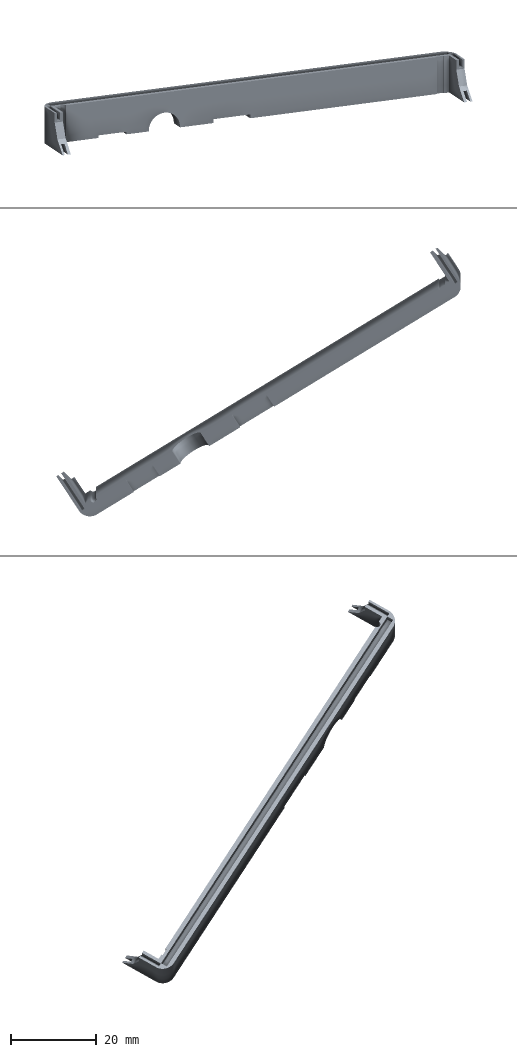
import cadquery as cq

length = 105.0
height = 9.0
wall_thickness = 3.6
leg_thickness = 2.1
corner_radius = 3.0
half_length = length / 2

front_leg_reach = 12.9
back_leg_reach = 12.3
leg_top_setback = 4.6
leg_knee_setback = 3.0
leg_knee_height = 3.0
leg_curve_setback = 3.9
leg_curve_height = 5.0
leg_upright_bottom = 6.7

groove_depth = 1.9
wall_groove_start = 0.9
wall_groove_end = 2.5
wall_groove_end_margin = 1.5
leg_groove_outer_margin = 0.5
leg_groove_width = 0.8
leg_slot_height = 2.1

bottom_notches = [(-9.9, -0.4, 0.9), (-39.3, -32.0, 0.6)]
arch_y = -22.4
arch_radius = 4.0
arch_height = 4.1

square_relief_y = half_length - 4.3
square_relief_width = 1.8
square_relief_depth = 0.3
round_relief_y = 4.3 - half_length
round_relief_radius = 0.7


def box(x0, x1, y0, y1, z0, z1):
    """Block between the given limits."""
    return cq.Workplane("XY").box(x1 - x0, y1 - y0, z1 - z0, centered=False).translate((x0, y0, z0))


def leg(reach, y_start):
    """Leg with an upright top edge that sweeps out to a pointed toe."""
    return (
        cq.Workplane("XZ", origin=(0, y_start, 0))
        .lineTo(reach, 0)
        .lineTo(reach - leg_knee_setback, leg_knee_height)
        .threePointArc(
            (reach - leg_curve_setback, leg_curve_height),
            (reach - leg_top_setback, leg_upright_bottom),
        )
        .lineTo(reach - leg_top_setback, height)
        .lineTo(0, height)
        .close()
        .extrude(-leg_thickness)
    )


def leg_grooves(side):
    """Top groove and underside slot of the leg on the given Y side, open at its toe."""
    outer_y = side * (half_length - leg_groove_outer_margin)
    inner_y = outer_y - side * leg_groove_width
    y0, y1 = sorted((outer_y, inner_y))
    top_groove = box(wall_groove_end, front_leg_reach, y0, y1, height - groove_depth, height)
    bottom_slot = box(wall_groove_end, front_leg_reach, y0, y1, 0, leg_slot_height)
    return top_groove.union(bottom_slot)


body = box(0, wall_thickness, -half_length, half_length, 0, height)
body = body.union(leg(front_leg_reach, -half_length))
body = body.union(leg(back_leg_reach, half_length - leg_thickness))
body = body.edges("|Z and <X").fillet(corner_radius)

groove_end_y = half_length - wall_groove_end_margin
body = body.cut(
    box(wall_groove_start, wall_groove_end, -groove_end_y, groove_end_y, height - groove_depth, height)
)

for side in (-1, 1):
    body = body.cut(leg_grooves(side))

for notch_start, notch_end, notch_height in bottom_notches:
    body = body.cut(box(0, wall_thickness, notch_start, notch_end, 0, notch_height))

arch_spring = arch_height - arch_radius
arch = (
    cq.Workplane("YZ")
    .moveTo(arch_y - arch_radius, 0)
    .lineTo(arch_y - arch_radius, arch_spring)
    .threePointArc((arch_y, arch_height), (arch_y + arch_radius, arch_spring))
    .lineTo(arch_y + arch_radius, 0)
    .close()
    .extrude(wall_thickness)
)
body = body.cut(arch)

square_relief = box(
    wall_thickness - square_relief_depth,
    wall_thickness,
    square_relief_y - square_relief_width / 2,
    square_relief_y + square_relief_width / 2,
    0,
    height,
)
round_relief = cq.Workplane("XY").center(wall_thickness, round_relief_y).circle(round_relief_radius).extrude(height)
result = body.cut(square_relief).cut(round_relief)